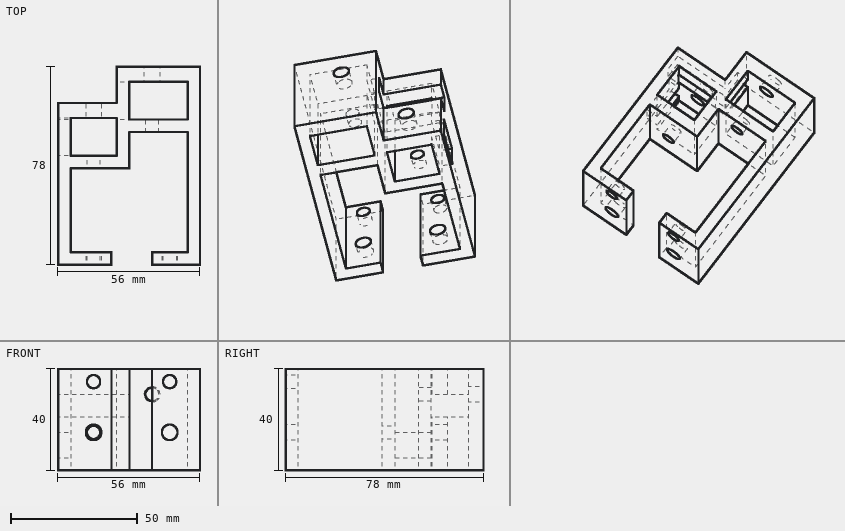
import cadquery as cq

width = 56.0
length = 78.05
height = 40.0

wall = 5.0
back_wall = 6.0

left_cell_width = 18.0
cell_depth = 14.75
back_step = 14.3

left_lip = 21.0
opening = 16.0

left_window_bottom = 5.0
left_window_height = 10.0
right_window_bottom = 21.0
right_window_height = 9.0

upper_hole_diameter = 5.2
lower_hole_diameter = 6.2
rib_hole_diameter = 5.2
back_hole_diameter = 6.2
left_hole_x = 14.0
right_hole_x = 43.95
upper_hole_z = 35.0
lower_hole_z = 15.0
right_cell_hole_x = 37.0
right_cell_hole_z = 30.0

step_x = wall + left_cell_width
right_cell_x = step_x + wall
inner_right_x = width - wall
left_back_y = length - back_step
left_cell_y = left_back_y - back_wall - cell_depth
right_cell_y = length - back_wall - cell_depth


def box(x_range, y_range, z_range=(0, height)):
    """Axis-aligned block spanning the given ranges."""
    (x0, x1), (y0, y1), (z0, z1) = x_range, y_range, z_range
    return cq.Workplane("XY").box(x1 - x0, y1 - y0, z1 - z0, centered=False).translate((x0, y0, z0))


def hole(x, z, diameter, start_y, end_y):
    """Cylinder running along Y between two positions."""
    axis = cq.Vector(0, 1, 0)
    start = cq.Vector(x, start_y, z)
    return cq.Workplane(cq.Solid.makeCylinder(diameter / 2, end_y - start_y, start, axis))


body = box((0, width), (0, length))
body = body.cut(box((0, step_x), (left_back_y, length)))

body = body.cut(box((wall, inner_right_x), (wall, left_cell_y - wall)))
body = body.cut(box((right_cell_x, inner_right_x), (wall, right_cell_y - wall)))
body = body.cut(box((left_lip, left_lip + opening), (0, wall)))

left_cell_span = (left_cell_y, left_cell_y + cell_depth)
right_cell_span = (right_cell_y, right_cell_y + cell_depth)
body = body.cut(box((wall, step_x), left_cell_span))
body = body.cut(box((right_cell_x, inner_right_x), right_cell_span))

left_window_z = (left_window_bottom, left_window_bottom + left_window_height)
right_window_z = (right_window_bottom, right_window_bottom + right_window_height)
body = body.cut(box((0, wall), left_cell_span, left_window_z))
body = body.cut(box((0, right_cell_x), right_cell_span, right_window_z))

for hole_x in (left_hole_x, right_hole_x):
    body = body.cut(hole(hole_x, upper_hole_z, upper_hole_diameter, 0, wall))
    body = body.cut(hole(hole_x, lower_hole_z, lower_hole_diameter, 0, wall))

for hole_x, hole_z, cell_y in (
    (left_hole_x, lower_hole_z, left_cell_y),
    (right_cell_hole_x, right_cell_hole_z, right_cell_y),
):
    back_y = cell_y + cell_depth
    body = body.cut(hole(hole_x, hole_z, rib_hole_diameter, cell_y - wall, cell_y))
    body = body.cut(hole(hole_x, hole_z, back_hole_diameter, back_y, back_y + back_wall))

result = body